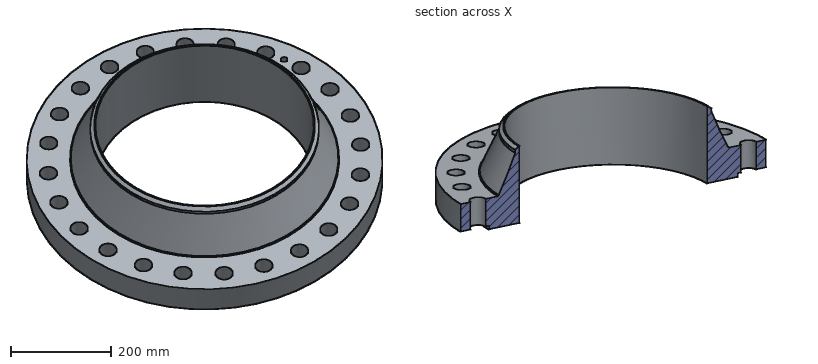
import cadquery as cq
import math

flange_diameter = 711.0
flange_thickness = 60.0

face_diameter = 579.5
face_height = 8.0

hub_base_diameter = 538.0
hub_flare_height = 2.0
hub_flare_width = 2.0
neck_diameter = 457.0
bore_diameter = 436.0
weld_land = 3.0
total_height = 165.0
bevel_height = 6.5
collar_height = 6.5

bolt_count = 24
bolt_circle_diameter = 628.5
bolt_hole_diameter = 35.0

pilot_diameter = 13.5
pilot_depth = 21.0
pilot_point_angle = 118

flange_top = face_height + flange_thickness
hub_start = flange_top + hub_flare_height
bevel_start = total_height - bevel_height
collar_start = bevel_start - collar_height
bolt_pitch = 360 / bolt_count


def make_body():
    """Revolve the half section, raised face at Z = 0, about the Z axis."""
    bore_radius = bore_diameter / 2
    section = [
        (bore_radius, 0),
        (face_diameter / 2, 0),
        (face_diameter / 2, face_height),
        (flange_diameter / 2, face_height),
        (flange_diameter / 2, flange_top),
        (hub_base_diameter / 2, flange_top),
        (hub_base_diameter / 2 - hub_flare_width, hub_start),
        (neck_diameter / 2, collar_start),
        (neck_diameter / 2, bevel_start),
        (bore_radius + weld_land, total_height),
        (bore_radius, total_height),
    ]
    return cq.Workplane("XZ").polyline(section).close().revolve(360, (0, 0, 0), (0, 1, 0))


def drill_bolt_holes(body):
    """Drill the full ring of bolt holes through the flange plate."""
    holes = (
        cq.Workplane("XY")
        .polarArray(bolt_circle_diameter / 2, 0, 360, bolt_count)
        .circle(bolt_hole_diameter / 2)
        .extrude(flange_top)
    )
    return body.cut(holes)


def drill_pilot_hole(body):
    """Sink the blind hole with its conical drill point into the flange top."""
    pilot_radius = pilot_diameter / 2
    angle = math.radians(90 + bolt_pitch / 2)
    x = bolt_circle_diameter / 2 * math.cos(angle)
    y = bolt_circle_diameter / 2 * math.sin(angle)
    point_height = pilot_radius / math.tan(math.radians(pilot_point_angle / 2))
    half_section = [
        (0, 0),
        (pilot_radius, 0),
        (pilot_radius, -pilot_depth),
        (0, -pilot_depth - point_height),
    ]
    drill = (
        cq.Workplane("XZ")
        .polyline(half_section)
        .close()
        .revolve(360, (0, 0, 0), (0, 1, 0))
        .translate((x, y, flange_top))
    )
    return body.cut(drill)


result = make_body()
result = drill_bolt_holes(result)
result = drill_pilot_hole(result)